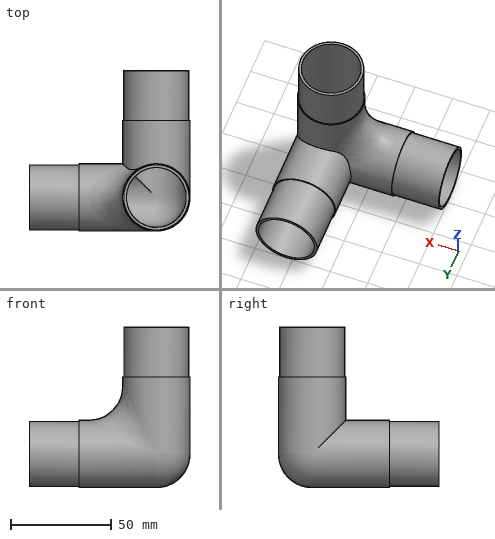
import cadquery as cq

overall_size = 80.05
sleeve_radius = 16.8
spigot_radius = 16.25
bore_radius = 14.9
spigot_length = 24.8
blend_radius = 16.8

arm_length = overall_size - sleeve_radius
sleeve_length = arm_length - spigot_length

toward_left = (-1, 0, 0)
toward_back = (0, 1, 0)
toward_top = (0, 0, 1)
arm_directions = [toward_left, toward_back, toward_top]


def rod(radius, length, direction):
    """Solid cylinder from the origin along a direction."""
    section_plane = cq.Plane(origin=(0, 0, 0), normal=direction)
    return cq.Workplane(section_plane).circle(radius).extrude(length)


elbow = cq.Workplane("XY").sphere(sleeve_radius)
for direction in (toward_left, toward_top):
    elbow = elbow.union(rod(sleeve_radius, sleeve_length, direction))
elbow = elbow.edges("%ELLIPSE").fillet(blend_radius)

body = elbow.union(rod(sleeve_radius, sleeve_length, toward_back))
for direction in arm_directions:
    body = body.union(rod(spigot_radius, arm_length, direction))

cavity = cq.Workplane("XY").sphere(bore_radius)
for direction in arm_directions:
    cavity = cavity.union(rod(bore_radius, arm_length, direction))

result = body.cut(cavity)